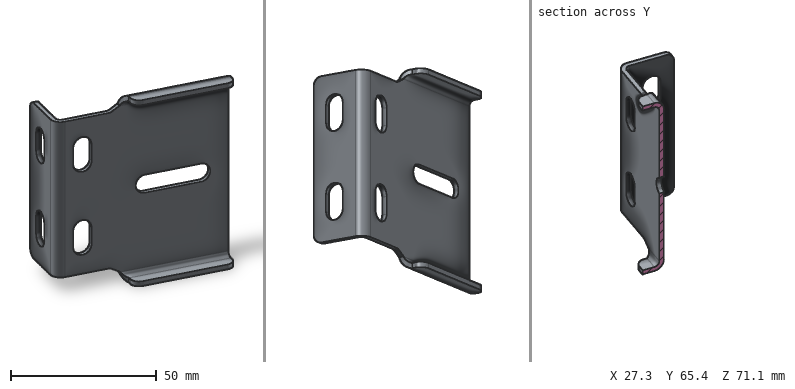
import cadquery as cq
import math


total_x = 27.3
total_y = 65.41
total_z = 71.12
sheet = 1.897
bend_inner = sheet
bend_outer = bend_inner + sheet
corner_radius = 3.175

plate_x_max = 20.95
plate_x_min = plate_x_max - sheet
neck_half_z = 29.72
lip_bend_z = total_z / 2 - bend_outer

flange_bend_x = plate_x_max - bend_outer

lip_bend_x = plate_x_min + bend_outer
lip_front_y = 27.05

step_angle = math.radians(30)
step_fillet = corner_radius
step_end_y = 24.42
fillet_rise = step_fillet * (1 - math.cos(step_angle))
slope_length_y = (lip_bend_z - neck_half_z - fillet_rise) / math.tan(step_angle)
fillet_end_y = step_end_y - slope_length_y
fillet_start_y = fillet_end_y - step_fillet * math.sin(step_angle)

helix_steps = 8

slot_width = 6.86
short_slot_length = 13.21
short_slot_spacing = 31.75
flange_slot_x = 8.55
plate_slot_y = 10.4
long_slot_length = 28.0
long_slot_y = 44.5


def box(x_range, y_range, z_range):
    """Axis-aligned block between the given limits."""
    return cq.Workplane("XY").box(
        x_range[1] - x_range[0],
        y_range[1] - y_range[0],
        z_range[1] - z_range[0],
        centered=False,
    ).translate((x_range[0], y_range[0], z_range[0]))


def quarter_bend(plane, center, start_degrees, length):
    """Quarter of a tube: the bent sheet around a center given in the plane's coordinates."""
    def point(radius, degrees):
        angle = math.radians(degrees)
        return (center[0] + radius * math.cos(angle), center[1] + radius * math.sin(angle))

    middle = start_degrees + 45
    end = start_degrees + 90
    return (
        cq.Workplane(plane)
        .moveTo(*point(bend_inner, start_degrees))
        .threePointArc(point(bend_inner, middle), point(bend_inner, end))
        .lineTo(*point(bend_outer, end))
        .threePointArc(point(bend_outer, middle), point(bend_outer, start_degrees))
        .close()
        .extrude(length)
    )


def half_plate():
    """Upper half of the main plate, with the filleted step between neck and lip."""
    fillet_middle = (
        fillet_start_y + step_fillet * math.sin(step_angle / 2),
        neck_half_z + step_fillet * (1 - math.cos(step_angle / 2)),
    )
    return (
        cq.Workplane("YZ", origin=(plate_x_min, 0, 0))
        .moveTo(bend_outer, 0)
        .lineTo(bend_outer, neck_half_z)
        .lineTo(fillet_start_y, neck_half_z)
        .threePointArc(fillet_middle, (fillet_end_y, neck_half_z + fillet_rise))
        .lineTo(step_end_y, lip_bend_z)
        .lineTo(total_y, lip_bend_z)
        .lineTo(total_y, 0)
        .close()
        .extrude(sheet)
    )


def bend_relief():
    """Block in front of the lip bend; its rear face runs back steadily as it turns around the bend."""
    def wrapped_edge(radius):
        points = []
        for step in range(helix_steps + 1):
            turned = step / helix_steps
            angle = turned * math.pi / 2
            x = lip_bend_x - radius * math.cos(angle)
            y = step_end_y + turned * (lip_front_y - step_end_y)
            z = lip_bend_z + radius * math.sin(angle)
            points.append(cq.Vector(x, y, z))
        return cq.Edge.makeSpline(points)

    margin = sheet / 2
    rear_face = cq.Face.makeRuledSurface(
        wrapped_edge(bend_inner - margin),
        wrapped_edge(bend_outer + margin),
    )
    return cq.Solid.extrudeLinear(rear_face, cq.Vector(0, -lip_front_y, 0))


def lip():
    """Upper side lip with its bend into the main plate."""
    bend = quarter_bend("XZ", (lip_bend_x, lip_bend_z), 90, total_y - step_end_y)
    bend = bend.translate((0, total_y, 0)).cut(cq.Workplane(bend_relief()))
    tab = box((lip_bend_x, total_x), (lip_front_y, total_y), (total_z / 2 - sheet, total_z / 2))
    tab = tab.edges("|Z and >X").fillet(corner_radius)
    return bend.union(tab)


def front_flange():
    """Front flange with rounded free corners and its bend into the main plate."""
    z_range = (-neck_half_z, neck_half_z)
    flange = box((0, flange_bend_x), (0, sheet), z_range)
    flange = flange.edges("|Y and <X").fillet(corner_radius)
    bend = quarter_bend("XY", (flange_bend_x, bend_outer), 270, 2 * neck_half_z)
    return flange.union(bend.translate((0, 0, -neck_half_z)))


def slot_cutter(plane, center, length, angle, depth):
    """Round-ended slot cutter extruded to both sides of the plane."""
    return (
        cq.Workplane(plane)
        .center(*center)
        .slot2D(length, slot_width, angle)
        .extrude(depth, both=True)
    )


upper_half = half_plate().union(lip())
bracket = upper_half.union(upper_half.mirror("XY")).union(front_flange())

for slot_z in (-short_slot_spacing / 2, short_slot_spacing / 2):
    bracket = bracket.cut(slot_cutter("XZ", (flange_slot_x, slot_z), short_slot_length, 90, bend_outer))
    bracket = bracket.cut(slot_cutter("YZ", (plate_slot_y, slot_z), short_slot_length, 90, total_x))
bracket = bracket.cut(slot_cutter("YZ", (long_slot_y, 0), long_slot_length, 0, total_x))

result = bracket